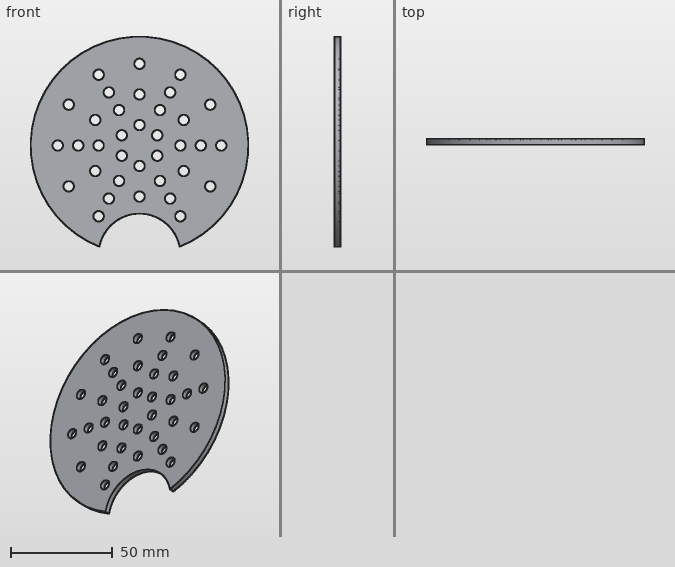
import cadquery as cq
import math

plate_diameter = 107.0
plate_radius = plate_diameter / 2
plate_thickness = 3.0

notch_radius = 20.0

hole_diameter = 5.0
outer_ring_radius = 40.1
ring_pitch = outer_ring_radius / 4
hexagon_step = 60
outer_ring_step = 30
notch_angle = 270


def inside_notch(radius, angle):
    """True for a hole centre on the notch axis that lies beyond the notch's inner edge."""
    return angle == notch_angle and radius > plate_radius - notch_radius


def ring_points(radius, first_angle, step):
    """Hole centres evenly spaced on a circle, with angles in degrees."""
    return [
        (radius * math.cos(math.radians(angle)), radius * math.sin(math.radians(angle)))
        for angle in range(first_angle, first_angle + 360, step)
        if not inside_notch(radius, angle)
    ]


hole_rings = [
    (ring_pitch, 30, hexagon_step),
    (2 * ring_pitch, 0, hexagon_step),
    (2.5 * ring_pitch, 30, hexagon_step),
    (3 * ring_pitch, 0, hexagon_step),
    (outer_ring_radius, 0, outer_ring_step),
]


def through_cylinders(points, radius):
    """Cylinders spanning the plate thickness at the given points."""
    front_face = cq.Workplane("XZ", origin=(0, -plate_thickness / 2, 0))
    return front_face.pushPoints(points).circle(radius).extrude(-plate_thickness)


plate = through_cylinders([(0, 0)], plate_radius)
plate = plate.cut(through_cylinders([(0, -plate_radius)], notch_radius))

for ring_radius, first_angle, step in hole_rings:
    centres = ring_points(ring_radius, first_angle, step)
    plate = plate.cut(through_cylinders(centres, hole_diameter / 2))

result = plate